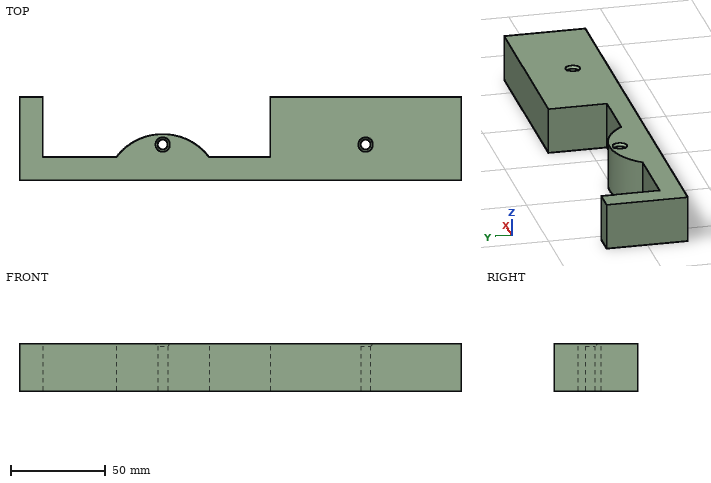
import cadquery as cq

length = 235.0
width = 44.5
height = 25.4

wall = 12.5
block_start = 133.2

boss_center = 76.1
boss_half_width = 24.7
boss_rise = 12.2

hole_diameter = 5.2
countersink_diameter = 7.8
countersink_angle = 90.0
hole_y = 19.0
block_hole_x = 184.0


def make_body():
    """Long wall with an end wall, a rounded boss and a solid end block."""
    return (
        cq.Workplane("XY")
        .lineTo(length, 0)
        .lineTo(length, width)
        .lineTo(block_start, width)
        .lineTo(block_start, wall)
        .lineTo(boss_center + boss_half_width, wall)
        .threePointArc(
            (boss_center, wall + boss_rise),
            (boss_center - boss_half_width, wall),
        )
        .lineTo(wall, wall)
        .lineTo(wall, width)
        .lineTo(0, width)
        .close()
        .extrude(height)
    )


def drill_holes(body):
    """Drill one hole in the boss and one in the block, countersunk from the top."""
    return (
        body.faces(">Z")
        .workplane(origin=(0, 0, height))
        .pushPoints([(boss_center, hole_y), (block_hole_x, hole_y)])
        .cskHole(hole_diameter, countersink_diameter, countersink_angle)
    )


result = drill_holes(make_body())